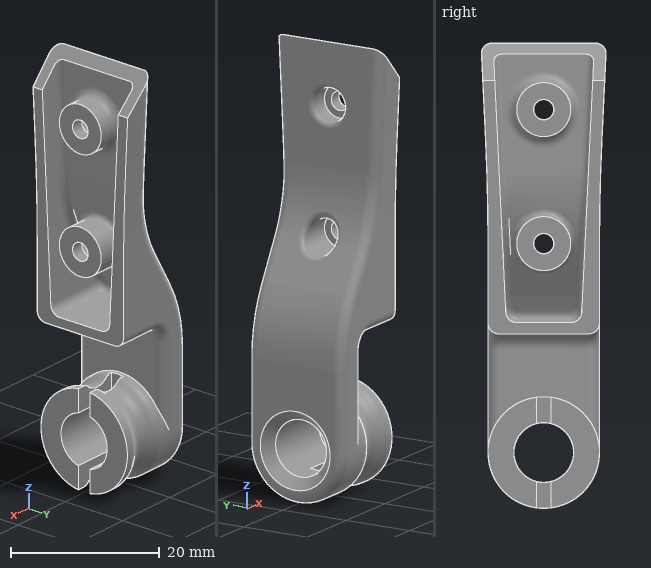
import cadquery as cq
import math

DEPTH = 13.5
TOP_Z = 55.0
HUB_RADIUS = 7.5
PLATE = 5.0
WALL = 1.5
EDGE_ROUND = 1.5

POCKET_TOP_HALF = 6.8
POCKET_FLOOR_ROUND = 1.0
POCKET_CORNER_ROUND = 1.5

BEND_START_Z = 11.95
BEND_RADIUS = 19.75
BEND_ANGLE = math.radians(30)

LEDGE_Z = 15.95
LEDGE_ROUND = 2.0

FLARE_START_Z = 27.8
FLARE_RADIUS = 306.25
FLARE_ANGLE = math.radians(2.7)

HUB_END = 12.7
GROOVE_CENTRE = 8.7
GROOVE_DEPTH = 1.1
GROOVE_HOLLOW = 1.9
GROOVE_SHOULDER = 1.1
HUB_BORE = 8.0
HUB_SINK = 11.0
HUB_SINK_DEPTH = 1.5
HUB_SLIT = 2.0

SCREW_HEIGHTS = (28.05, 46.05)
SCREW_HOLE = 2.7
SCREW_HEAD = 4.8
SCREW_SEAT = 2.0
SCREW_ENTRY_ROUND = 0.75
BOSS_RADIUS = 3.6
BOSS_ROOT_ROUNDS = (0.75, 1.5)

UPPER_X = DEPTH - PLATE
TOL = 0.005


def back_path(inset):
    """Side outline in XZ, open at its start, along the back face moved inward by inset."""
    lower_radius = BEND_RADIUS - inset
    upper_radius = BEND_RADIUS + inset
    sine = math.sin(BEND_ANGLE)
    cosine = math.cos(BEND_ANGLE)
    lower_centre = (BEND_RADIUS, BEND_START_Z)
    straight_dx = UPPER_X - 2 * BEND_RADIUS * (1 - cosine)
    bend_end_z = BEND_START_Z + 2 * BEND_RADIUS * sine + straight_dx / math.tan(BEND_ANGLE)
    upper_centre = (UPPER_X - BEND_RADIUS, bend_end_z)

    def on_lower(angle):
        return (lower_centre[0] - lower_radius * math.cos(angle),
                lower_centre[1] + lower_radius * math.sin(angle))

    def on_upper(angle):
        return (upper_centre[0] + upper_radius * math.cos(angle),
                upper_centre[1] - upper_radius * math.sin(angle))

    return (
        cq.Workplane("XZ")
        .moveTo(inset, 0)
        .lineTo(*on_lower(0))
        .threePointArc(on_lower(BEND_ANGLE / 2), on_lower(BEND_ANGLE))
        .lineTo(*on_upper(BEND_ANGLE))
        .threePointArc(on_upper(BEND_ANGLE / 2), on_upper(0))
        .lineTo(UPPER_X + inset, TOP_Z)
        .lineTo(DEPTH, TOP_Z)
    )


def width_prism():
    """Flared width outline in YZ above the hub axis, extruded through the depth."""

    def flare(angle):
        return (HUB_RADIUS + FLARE_RADIUS * (1 - math.cos(angle)),
                FLARE_START_Z + FLARE_RADIUS * math.sin(angle))

    def mirrored(point):
        return (-point[0], point[1])

    flare_end = flare(FLARE_ANGLE)
    top = (flare_end[0] + (TOP_Z - flare_end[1]) * math.tan(FLARE_ANGLE), TOP_Z)
    return (
        cq.Workplane("YZ")
        .moveTo(HUB_RADIUS, 0)
        .lineTo(*flare(0))
        .threePointArc(flare(FLARE_ANGLE / 2), flare_end)
        .lineTo(*top)
        .lineTo(*mirrored(top))
        .lineTo(*mirrored(flare_end))
        .threePointArc(mirrored(flare(FLARE_ANGLE / 2)), mirrored(flare(0)))
        .lineTo(-HUB_RADIUS, 0)
        .close()
        .extrude(DEPTH)
    )


def is_along(edge, axis):
    """True for a straight edge parallel to the named axis, "x" or "y"."""
    size = edge.BoundingBox()
    side_length = size.ylen if axis == "x" else size.xlen
    return side_length < TOL and size.zlen < TOL


def is_long_edge(edge):
    """True for the outer edges along the back, the plate and the ledge."""
    centre = edge.Center()
    on_front = centre.x > DEPTH - TOL
    on_ledge = abs(centre.z - LEDGE_Z) < TOL
    seam = is_along(edge, "x") and not on_ledge
    return not (is_along(edge, "y") or on_front or seam)


def make_body():
    """Solid bracket above the hub axis, with its long edges rounded."""
    corner = LEDGE_ROUND * (1 - math.sqrt(0.5))
    side = (
        back_path(0)
        .lineTo(DEPTH, LEDGE_Z)
        .lineTo(PLATE + LEDGE_ROUND, LEDGE_Z)
        .threePointArc((PLATE + corner, LEDGE_Z - corner), (PLATE, LEDGE_Z - LEDGE_ROUND))
        .lineTo(PLATE, 0)
        .close()
        .extrude(DEPTH, both=True)
    )
    body = side.intersect(width_prism())
    long_edges = body.edges().filter(is_long_edge)
    return long_edges.fillet(EDGE_ROUND)


def make_pocket():
    """Hollow of the channel, open to the front and to the bevelled end."""
    side = back_path(WALL).lineTo(DEPTH, 0).close().extrude(DEPTH, both=True)
    floor_z = LEDGE_Z + WALL
    low_half = POCKET_TOP_HALF - (TOP_Z - floor_z) * math.tan(FLARE_ANGLE)
    width = (
        cq.Workplane("YZ")
        .polyline([
            (-low_half, floor_z),
            (low_half, floor_z),
            (POCKET_TOP_HALF, TOP_Z),
            (-POCKET_TOP_HALF, TOP_Z),
        ])
        .close()
        .extrude(DEPTH)
        .edges("|X and <Z")
        .fillet(POCKET_CORNER_ROUND)
    )
    pocket = side.intersect(width)

    def is_floor_edge(edge):
        """True for the edges where the floor meets the walls."""
        centre = edge.Center()
        on_rim = centre.x > DEPTH - TOL or centre.z > TOP_Z - TOL
        across_floor = is_along(edge, "y") and centre.z > floor_z + TOL
        return not (on_rim or across_floor or is_along(edge, "x"))

    pocket = pocket.edges().filter(is_floor_edge).fillet(POCKET_FLOOR_ROUND)
    for height, root_round in zip(SCREW_HEIGHTS, BOSS_ROOT_ROUNDS):
        pocket = leave_boss(pocket, height, root_round)
    return pocket


def leave_boss(pocket, height, root_round):
    """Take a round boss out of the pocket, blended into the pocket floor."""
    boss = cq.Workplane("YZ").center(0, height).circle(BOSS_RADIUS).extrude(DEPTH)

    def is_boss_root(edge):
        centre = edge.Center()
        end = edge.endPoint()
        on_boss = abs(math.hypot(end.y, end.z - height) - BOSS_RADIUS) < TOL
        return on_boss and not is_along(edge, "x") and centre.x < DEPTH - TOL

    return pocket.cut(boss).edges().filter(is_boss_root).fillet(root_round)


def make_bevel():
    """Wedge that bevels the upper end at 45 degrees from the back edge."""
    return (
        cq.Workplane("XZ")
        .moveTo(UPPER_X, TOP_Z)
        .lineTo(DEPTH, TOP_Z - PLATE)
        .lineTo(DEPTH, TOP_Z)
        .close()
        .extrude(DEPTH, both=True)
    )


def make_hub():
    """Split hub with a smooth round groove: a hollow arc between two convex arcs."""
    slope = 2 * math.atan(GROOVE_DEPTH / (GROOVE_HOLLOW + GROOVE_SHOULDER))
    hollow_radius = GROOVE_HOLLOW / math.sin(slope)
    shoulder_radius = GROOVE_SHOULDER / math.sin(slope)
    bottom_radius = HUB_RADIUS - GROOVE_DEPTH
    joint_radius = bottom_radius + hollow_radius * (1 - math.cos(slope))
    half_length = GROOVE_HOLLOW + GROOVE_SHOULDER
    groove_start = GROOVE_CENTRE - half_length
    corner = EDGE_ROUND * (1 - math.sqrt(0.5))
    bulge_x = half_length - shoulder_radius * math.sin(slope / 2)
    bulge_radius = HUB_RADIUS - shoulder_radius * (1 - math.cos(slope / 2))
    hub = (
        cq.Workplane("XY")
        .lineTo(0, HUB_RADIUS - EDGE_ROUND)
        .threePointArc((corner, HUB_RADIUS - corner), (EDGE_ROUND, HUB_RADIUS))
        .lineTo(groove_start, HUB_RADIUS)
        .threePointArc((GROOVE_CENTRE - bulge_x, bulge_radius), (GROOVE_CENTRE - GROOVE_HOLLOW, joint_radius))
        .threePointArc((GROOVE_CENTRE, bottom_radius), (GROOVE_CENTRE + GROOVE_HOLLOW, joint_radius))
        .threePointArc((GROOVE_CENTRE + bulge_x, bulge_radius), (GROOVE_CENTRE + half_length, HUB_RADIUS))
        .lineTo(HUB_END, HUB_RADIUS)
        .lineTo(HUB_END, 0)
        .close()
        .revolve(360, (0, 0, 0), (1, 0, 0))
    )
    slit = (
        cq.Workplane("YZ", origin=(groove_start, 0, 0))
        .rect(HUB_SLIT, 2 * HUB_RADIUS)
        .extrude(DEPTH)
    )
    return hub.cut(slit)


def make_hub_bore():
    """Through bore of the hub, countersunk at the back."""
    return (
        cq.Workplane("XY")
        .lineTo(0, HUB_SINK / 2)
        .lineTo(HUB_SINK_DEPTH, HUB_BORE / 2)
        .lineTo(HUB_END, HUB_BORE / 2)
        .lineTo(HUB_END, 0)
        .close()
        .revolve(360, (0, 0, 0), (1, 0, 0))
    )


def cut_screw_hole(body, height):
    """Counterbored hole entered from the back, with a rounded entry."""
    axis = cq.Workplane("YZ").center(0, height)
    head = axis.circle(SCREW_HEAD / 2).extrude(DEPTH - SCREW_SEAT)
    shank = axis.circle(SCREW_HOLE / 2).extrude(DEPTH)
    body = body.cut(head)

    def is_entry(edge):
        centre = edge.Center()
        size = edge.BoundingBox()
        near = abs(centre.z - height) < SCREW_HEAD / 2 and abs(centre.y) < SCREW_HEAD / 2
        within = size.ylen < SCREW_HEAD + TOL and size.zlen < SCREW_HEAD + TOL
        return near and within and not is_along(edge, "x") and centre.x < DEPTH - SCREW_SEAT - TOL

    return body.edges().filter(is_entry).fillet(SCREW_ENTRY_ROUND).cut(shank)


body = make_body().cut(make_pocket())
for screw_height in SCREW_HEIGHTS:
    body = cut_screw_hole(body, screw_height)
result = body.cut(make_bevel()).union(make_hub()).cut(make_hub_bore())